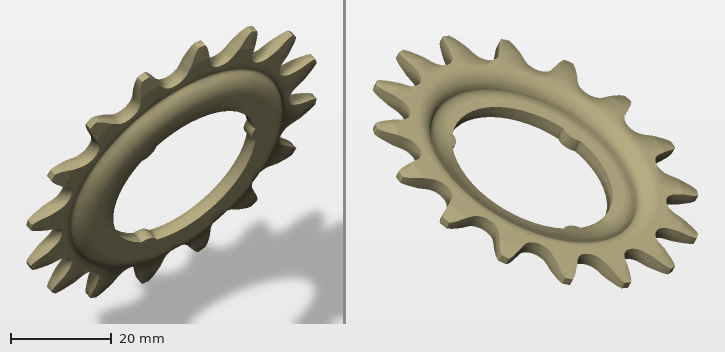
import cadquery as cq
import math

overall_diameter = 69.95
overall_width = 5.8

sheet_thickness = 2.8
hub_offset = overall_width - sheet_thickness
bore_radius = 17.4
dish_front_radius = 26.1
dish_back_radius = 21.8
dish_bend_radius = 4.05
hollow_fillet = 0.5
bulge_fillet = 0.3

tooth_count = 16
tooth_pitch = 2 * math.pi / tooth_count
root_radius = 27.8
seat_radius = 3.35
flank_angle = math.radians(27.0)
flank_end_radius = 33.85
tip_half_width = 0.85
taper_start = 31.5
taper_depth = 0.6
taper_overshoot = 0.7

tip_land_distance = (
    overall_diameter / 2 - tip_half_width * math.sin(tooth_pitch / 2)
) / math.cos(tooth_pitch / 2)
tip_radius = math.hypot(tip_half_width, tip_land_distance)

lug_count = 3
lug_inner_radius = 16.5
lug_radius = 3.3


def polar(radius, angle):
    """YZ point at an angle measured from +Z towards +Y."""
    return (radius * math.sin(angle), radius * math.cos(angle))


def turned(point, angle):
    """Rotate a YZ point about the axis, from +Z towards +Y."""
    y, z = point
    return (
        y * math.cos(angle) + z * math.sin(angle),
        z * math.cos(angle) - y * math.sin(angle),
    )


def mirrored(point):
    """Reflect a YZ point in the centreline of the gap at +Z."""
    return (-point[0], point[1])


def flank_points():
    """Seat end, flank end, shoulder midpoint and tip corner on the +Y side of the gap at +Z."""
    flank_y, flank_z = polar(1.0, flank_angle)
    seat_end = (
        seat_radius * flank_z,
        root_radius + seat_radius - seat_radius * flank_y,
    )

    along = seat_end[0] * flank_y + seat_end[1] * flank_z
    offset_squared = math.hypot(*seat_end) ** 2 - along**2
    flank_length = math.sqrt(flank_end_radius**2 - offset_squared) - along
    flank_end = (seat_end[0] + flank_length * flank_y, seat_end[1] + flank_length * flank_z)

    tip_corner = turned((-tip_half_width, tip_land_distance), tooth_pitch / 2)
    chord_y = tip_corner[0] - flank_end[0]
    chord_z = tip_corner[1] - flank_end[1]
    half_turn = math.atan2(chord_y, chord_z) - flank_angle
    rise = math.tan(half_turn / 2) / 2
    shoulder = (
        flank_end[0] + chord_y / 2 - rise * chord_z,
        flank_end[1] + chord_z / 2 + rise * chord_y,
    )
    return seat_end, flank_end, shoulder, tip_corner


def toothed_plate():
    """Flat disc carrying all the teeth."""
    seat_end, flank_end, shoulder, tip_corner = flank_points()
    outline = cq.Workplane("YZ").moveTo(*mirrored(seat_end))
    for index in range(tooth_count):
        gap = index * tooth_pitch
        tooth = gap + tooth_pitch / 2
        next_gap = gap + tooth_pitch
        outline = (
            outline.threePointArc(polar(root_radius, gap), turned(seat_end, gap))
            .lineTo(*turned(flank_end, gap))
            .threePointArc(turned(shoulder, gap), turned(tip_corner, gap))
            .threePointArc(polar(tip_radius, tooth), turned(mirrored(tip_corner), next_gap))
            .threePointArc(turned(mirrored(shoulder), next_gap), turned(mirrored(flank_end), next_gap))
            .lineTo(*turned(mirrored(seat_end), next_gap))
        )
    return outline.close().extrude(sheet_thickness)


def bent_disc(flush_x, end_x, flush_radius, direction):
    """Disc whose edge is a bend arc, tangent at flush_x to the face of the sheet there.

    direction is +1 if the disc grows from flush_x to end_x and -1 if it shrinks.
    """
    def arc_point(fraction):
        x = flush_x + fraction * (end_x - flush_x)
        depth = abs(x - flush_x)
        reach = math.sqrt(dish_bend_radius**2 - (dish_bend_radius - depth) ** 2)
        return (x, flush_radius + direction * reach)

    return (
        cq.Workplane("XY")
        .moveTo(flush_x, 0)
        .lineTo(*arc_point(0))
        .threePointArc(arc_point(0.5), arc_point(1))
        .lineTo(end_x, 0)
        .close()
        .revolve(360, (0, 0, 0), (1, 0, 0))
    )


def dished_blank():
    """Toothed plate with the bulge on its back and the matching hollow in its front."""
    bulge = bent_disc(overall_width, sheet_thickness, dish_back_radius, 1)
    hollow = bent_disc(0, hub_offset, dish_front_radius, -1)
    hollow = hollow.faces(">X").edges().fillet(hollow_fillet)

    near = bulge_fillet / 4
    bulge_foot = cq.selectors.BoxSelector(
        (sheet_thickness - near, -near, -near), (sheet_thickness + near, near, near)
    )
    blank = toothed_plate().union(bulge)
    return blank.edges(bulge_foot).fillet(bulge_fillet).cut(hollow)


def taper_wedge(on_back):
    """Wedge that thins one face of the tooth position at +Z."""
    wedge_end = tip_radius + taper_overshoot
    wedge_depth = taper_depth * (wedge_end - taper_start) / (tip_radius - taper_start)
    profile = [(0, taper_start), (0, wedge_end), (wedge_depth, wedge_end)]
    if on_back:
        profile = [(sheet_thickness - x, z) for x, z in profile]
    half_width = tip_radius * math.sin(tooth_pitch / 4)
    return cq.Workplane("XZ").polyline(profile).close().extrude(half_width, both=True)


def bore_cutter():
    """Bore with the round lugs left standing in it."""
    lugs = (
        cq.Workplane("YZ")
        .polarArray(lug_inner_radius + lug_radius, 0, 360, lug_count)
        .circle(lug_radius)
        .extrude(overall_width)
    )
    return cq.Workplane("YZ").circle(bore_radius).extrude(overall_width).cut(lugs)


result = dished_blank().cut(bore_cutter())
for wedge in (taper_wedge(on_back=False), taper_wedge(on_back=True)):
    for index in range(tooth_count):
        tooth_angle = math.degrees((index + 0.5) * tooth_pitch)
        result = result.cut(wedge.rotate((0, 0, 0), (1, 0, 0), tooth_angle))